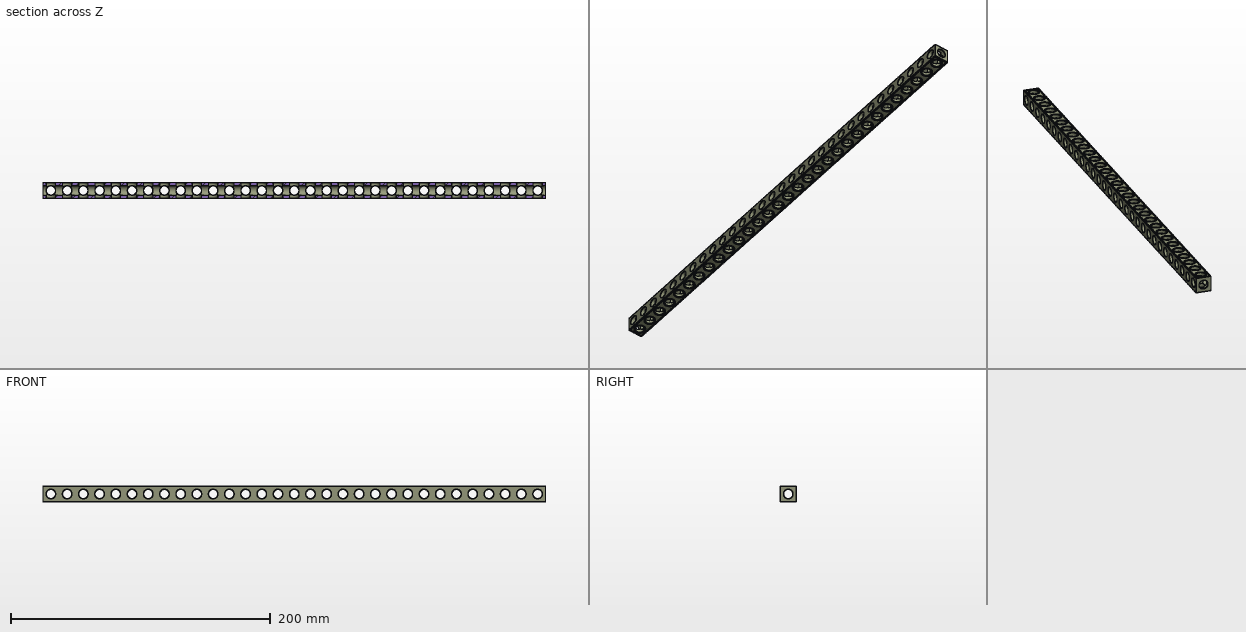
import cadquery as cq

unit = 12.5
unit_count = 31
hole_diameter = 7.0
edge_chamfer = 0.3

rim_width = 1.1
recess_depth = 0.2
collar_diameter = hole_diameter + 2 * rim_width

length = unit * unit_count
half_unit = unit / 2
hole_positions = [((index - (unit_count - 1) / 2) * unit, 0) for index in range(unit_count)]


def chamfered_hole(depth):
    """Cutter along Z, centred on the origin, with a chamfer at both mouths."""
    hole_radius = hole_diameter / 2
    mouth_radius = hole_radius + edge_chamfer
    end = depth / 2
    profile = [
        (0, -end),
        (mouth_radius, -end),
        (hole_radius, -end + edge_chamfer),
        (hole_radius, end - edge_chamfer),
        (mouth_radius, end),
        (0, end),
    ]
    return cq.Workplane("XZ").polyline(profile).close().revolve().val()


def top_recess():
    """Cutter for the recess in the top face, with the collars left standing."""
    floor = cq.Workplane("XY").workplane(offset=half_unit - recess_depth)
    pocket = floor.rect(length - 2 * rim_width, unit - 2 * rim_width).extrude(recess_depth)
    collars = floor.pushPoints(hole_positions).circle(collar_diameter / 2).extrude(recess_depth)
    return pocket.cut(collars)


def hole_cutters():
    """All hole cutters: one along X, then a Z and a Y hole in every unit."""
    origin = cq.Vector(0, 0, 0)
    upright_hole = chamfered_hole(unit)
    cross_hole = upright_hole.rotate(origin, cq.Vector(1, 0, 0), 90)
    long_hole = chamfered_hole(length).rotate(origin, cq.Vector(0, 1, 0), 90)
    cutters = [long_hole]
    for position in hole_positions:
        shift = cq.Vector(*position)
        cutters.append(upright_hole.translate(shift))
        cutters.append(cross_hole.translate(shift))
    return cutters


beam = cq.Workplane("XY").box(length, unit, unit).edges().chamfer(edge_chamfer)

recess = top_recess()
beam = beam.cut(recess).cut(recess.mirror("XY"))

result = cq.Workplane(obj=beam.val().cut(*hole_cutters()).Solids()[0])